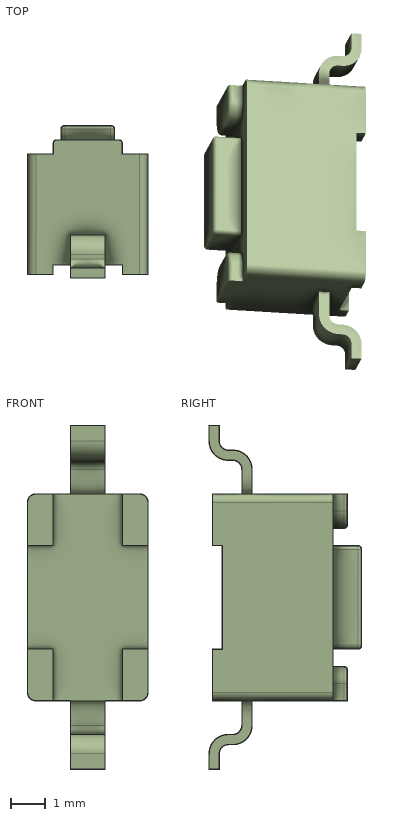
import cadquery as cq

BODY_WIDTH = 3.5
BODY_DEPTH = 3.5
BODY_HEIGHT = 6.0
BODY_CORNER_RADIUS = 0.25

FOOT_WIDTH = 0.75
FOOT_HEIGHT = 1.5
FOOT_DEPTH = 0.28

LUG_WIDTH = 2.0
LUG_HEIGHT = 1.0
LUG_DEPTH = 0.41
LUG_CORNER_RADIUS = 0.5

BUTTON_WIDTH = 1.56
BUTTON_HEIGHT = 3.0
BUTTON_DEPTH = 0.82
BUTTON_CORNER_RADIUS = 0.115

EDGE_RADIUS = 0.1

LEAD_WIDTH = 1.0
LEAD_THICKNESS = 0.3
LEAD_BEND_RADIUS = 0.26
LEAD_SPAN = 1.25
LEAD_REACH = 1.985
LEAD_ROOT_LENGTH = 0.71
LEAD_OVERHANG = 0.1

BODY_TOP = BODY_HEIGHT / 2


def box(width, depth, height, y_start, x_center=0.0, z_center=0.0):
    """Box centred in X and Z that grows toward +Y from y_start."""
    center = (x_center, y_start + depth / 2, z_center)
    return cq.Workplane("XY").box(width, depth, height).translate(center)


def make_housing():
    """Slab with corner feet, all rounded along the four Y edges."""
    housing = box(BODY_WIDTH, BODY_DEPTH - FOOT_DEPTH, BODY_HEIGHT, FOOT_DEPTH)
    foot_x = (BODY_WIDTH - FOOT_WIDTH) / 2
    foot_z = (BODY_HEIGHT - FOOT_HEIGHT) / 2
    for x_center in (-foot_x, foot_x):
        for z_center in (-foot_z, foot_z):
            foot = box(FOOT_WIDTH, FOOT_DEPTH, FOOT_HEIGHT, 0.0, x_center, z_center)
            housing = housing.union(foot)
    envelope = box(BODY_WIDTH, BODY_DEPTH, BODY_HEIGHT, 0.0)
    envelope = envelope.edges("|Y").fillet(BODY_CORNER_RADIUS)
    return housing.intersect(envelope)


def make_button():
    button = box(BUTTON_WIDTH, BUTTON_DEPTH, BUTTON_HEIGHT, BODY_DEPTH)
    button = button.edges("|Y").fillet(BUTTON_CORNER_RADIUS)
    return button.faces(">Y").edges().fillet(EDGE_RADIUS)


def make_upper_lug():
    """Lug at the +Z end: rounded toward the button, square at the housing end."""
    lug_z = BODY_TOP - LUG_HEIGHT / 2
    lug = box(LUG_WIDTH, LUG_DEPTH, LUG_HEIGHT, BODY_DEPTH, z_center=lug_z)
    lug = lug.faces("<Z").edges("|Y").fillet(LUG_CORNER_RADIUS)
    return lug.faces(">Y").edges("not >Z").fillet(EDGE_RADIUS)


def make_upper_lead():
    """S-bent strip at the +Z end, drawn in the YZ plane and widened along X."""
    inner = LEAD_BEND_RADIUS
    outer = LEAD_BEND_RADIUS + LEAD_THICKNESS
    tip_front = -LEAD_OVERHANG
    tip_back = tip_front + LEAD_THICKNESS
    root_back = tip_front + LEAD_SPAN
    root_front = root_back - LEAD_THICKNESS
    root_end = BODY_TOP + LEAD_ROOT_LENGTH
    flat_lower = root_end + inner
    flat_upper = root_end + outer
    tip_start = flat_lower + outer
    tip_end = BODY_TOP + LEAD_REACH

    profile = (
        cq.Workplane("YZ")
        .moveTo(root_back, BODY_TOP)
        .lineTo(root_back, root_end)
        .radiusArc((root_back - outer, flat_upper), -outer)
        .lineTo(tip_back + inner, flat_upper)
        .radiusArc((tip_back, tip_start), inner)
        .lineTo(tip_back, tip_end)
        .lineTo(tip_front, tip_end)
        .lineTo(tip_front, tip_start)
        .radiusArc((tip_front + outer, flat_lower), -outer)
        .lineTo(root_front - inner, flat_lower)
        .radiusArc((root_front, root_end), inner)
        .lineTo(root_front, BODY_TOP)
        .close()
    )
    return profile.extrude(LEAD_WIDTH / 2, both=True)


result = make_housing().union(make_button())
for end_feature in (make_upper_lug(), make_upper_lead()):
    result = result.union(end_feature)
    result = result.union(end_feature.mirror("XY"))